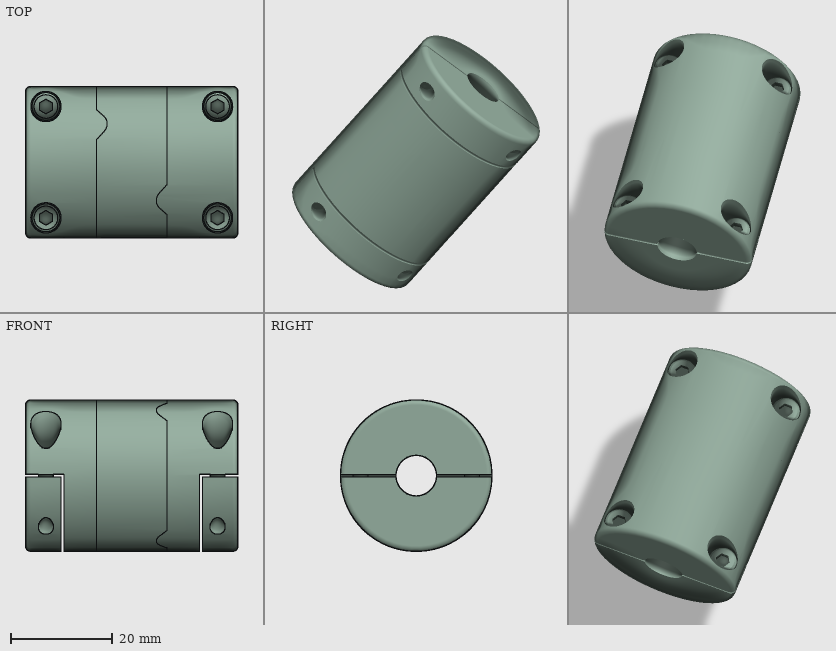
import cadquery as cq
import math

TOTAL_LENGTH = 42.0
OUTER_DIAMETER = 30.0
BORE_DIAMETER = 8.0
HUB_COUNT = 2
HUB_LENGTH = TOTAL_LENGTH / 3
END_FILLET = 1.0

CLAMP_LENGTH = 7.0
CLAMP_GAP = 0.5
RELIEF_WIDTH = 0.6

SCREW_END_DISTANCE = 4.05
SCREW_OFFSET = 11.0
SCREW_DIAMETER = 3.0
HEAD_DIAMETER = 5.5
HEAD_HEIGHT = 3.0
HEAD_CHAMFER = 0.4
HEAD_SEAT_HEIGHT = 2.48
HEX_ACROSS_FLATS = 2.5
HEX_DEPTH = 1.3
HEX_SIDES = 6
HEX_TURN = 180 / HEX_SIDES
COUNTERBORE_DIAMETER = 6.0
SCREW_TIP_HEIGHT = -5.9

LOBE_HEIGHT = 2.15
LOBE_HALF_WIDTH = 3.5
LOBE_RADIUS = 2.75
LOBE_TILT = 30.5

OUTER_RADIUS = OUTER_DIAMETER / 2
END_X = -TOTAL_LENGTH / 2
INNER_FACE_X = END_X + HUB_LENGTH
RING_LENGTH = TOTAL_LENGTH - 2 * HUB_LENGTH
SCREW_X = END_X + SCREW_END_DISTANCE


def round_bar(diameter, start_x, length):
    """Solid cylinder along the X axis."""
    return cq.Workplane("YZ").workplane(offset=start_x).circle(diameter / 2).extrude(length)


def post(diameter, y, bottom, top):
    """Vertical cylinder on a screw line."""
    plane = cq.Workplane("XY", origin=(SCREW_X, y, bottom))
    return plane.circle(diameter / 2).extrude(top - bottom)


def lobe(tilt):
    """Radial key with a round crest and straight flanks tangent to it."""
    centre_x = LOBE_HEIGHT - LOBE_RADIUS
    corner_distance = math.hypot(LOBE_HALF_WIDTH, centre_x)
    corner_angle = math.atan2(-centre_x, LOBE_HALF_WIDTH)
    tangent_angle = corner_angle + math.acos(LOBE_RADIUS / corner_distance)
    tangent_x = centre_x + LOBE_RADIUS * math.sin(tangent_angle)
    tangent_y = LOBE_RADIUS * math.cos(tangent_angle)
    key = (
        cq.Workplane("XY", origin=(INNER_FACE_X, 0, 0))
        .moveTo(0, -LOBE_HALF_WIDTH)
        .lineTo(tangent_x, -tangent_y)
        .threePointArc((LOBE_HEIGHT, 0), (tangent_x, tangent_y))
        .lineTo(0, LOBE_HALF_WIDTH)
        .lineTo(-LOBE_HEIGHT, LOBE_HALF_WIDTH)
        .lineTo(-LOBE_HEIGHT, -LOBE_HALF_WIDTH)
        .close()
        .extrude(OUTER_DIAMETER)
    )
    return key.rotate((0, 0, 0), (1, 0, 0), -tilt)


def hub_blank():
    """Rounded cylinder with its two lobes and the bore."""
    barrel = round_bar(OUTER_DIAMETER, END_X, HUB_LENGTH).faces("<X").edges().fillet(END_FILLET)
    lobes = lobe(LOBE_TILT).union(lobe(180 - LOBE_TILT))
    envelope = round_bar(OUTER_DIAMETER, INNER_FACE_X - LOBE_HEIGHT, 2 * LOBE_HEIGHT)
    bore = round_bar(BORE_DIAMETER, END_X, TOTAL_LENGTH)
    return barrel.union(lobes.intersect(envelope)).cut(bore)


def clamp_cut():
    """L-shaped cut: a flat gap at the axis and a cross cut down behind the clamp."""
    gap = cq.Workplane("XY", origin=(END_X, 0, 0)).box(
        CLAMP_LENGTH + RELIEF_WIDTH, OUTER_DIAMETER, CLAMP_GAP, centered=(False, True, True)
    )
    relief = cq.Workplane("XY", origin=(END_X + CLAMP_LENGTH, 0, -OUTER_RADIUS)).box(
        RELIEF_WIDTH, OUTER_DIAMETER, OUTER_RADIUS, centered=(False, True, False)
    )
    return gap.union(relief)


def screw(y):
    """Socket-head clamp screw."""
    head_top = HEAD_SEAT_HEIGHT + HEAD_HEIGHT
    head = post(HEAD_DIAMETER, y, HEAD_SEAT_HEIGHT, head_top).faces(">Z").edges().chamfer(HEAD_CHAMFER)
    hex_diameter = HEX_ACROSS_FLATS / math.cos(math.radians(HEX_TURN))
    socket = (
        cq.Workplane("XY", origin=(SCREW_X, y, head_top))
        .transformed(rotate=(0, 0, HEX_TURN))
        .polygon(HEX_SIDES, hex_diameter)
        .extrude(-HEX_DEPTH)
    )
    return head.cut(socket).union(post(SCREW_DIAMETER, y, SCREW_TIP_HEIGHT, HEAD_SEAT_HEIGHT))


def hub():
    """Hub at the -X end, one piece with its clamp and the two screws that hold it."""
    body = hub_blank().cut(clamp_cut())
    for y in (-SCREW_OFFSET, SCREW_OFFSET):
        body = body.cut(post(COUNTERBORE_DIAMETER, y, HEAD_SEAT_HEIGHT, OUTER_RADIUS))
        body = body.cut(post(SCREW_DIAMETER, y, -OUTER_RADIUS, SCREW_TIP_HEIGHT))
        body = body.union(screw(y))
    return body


def spacer(mating_hubs):
    """Middle ring, recessed at both ends for the lobes of the hubs."""
    ring = round_bar(OUTER_DIAMETER, INNER_FACE_X, RING_LENGTH)
    ring = ring.cut(round_bar(BORE_DIAMETER, INNER_FACE_X, RING_LENGTH))
    for mating_hub in mating_hubs:
        ring = ring.cut(mating_hub)
    return ring


hubs = [hub().rotate((0, 0, 0), (0, 0, 1), index * 360 / HUB_COUNT) for index in range(HUB_COUNT)]
middle_ring = spacer(hubs)

result = cq.Compound.makeCompound([middle_ring.val()] + [body.val() for body in hubs])